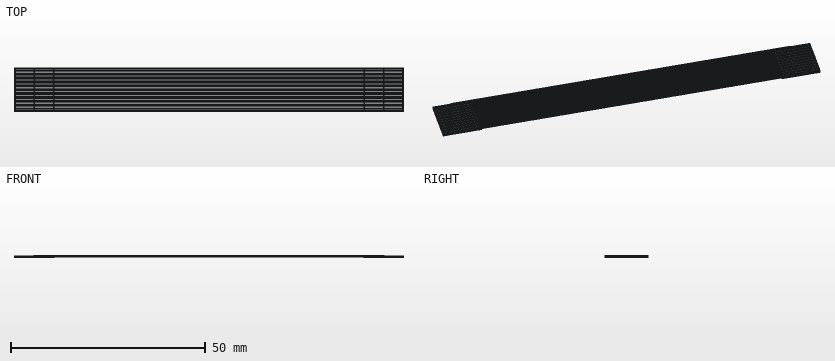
import cadquery as cq

cable_length = 100.0
cable_width = 11.0
total_thickness = 0.36

conductor_thickness = 0.1
cover_film_thickness = 0.06
stiffener_thickness = total_thickness - conductor_thickness - cover_film_thickness

conductor_count = 10
conductor_pitch = 1.0
conductor_width = 0.7
exposed_length = 5.0
stiffener_length = 10.0

conductor_bottom = stiffener_thickness
cover_bottom = conductor_bottom + conductor_thickness
covered_length = cable_length - 2 * exposed_length


def layer(length, width, thickness, bottom, x=0.0, y=0.0):
    """Flat strip centred on (x, y), with its underside at height bottom."""
    strip = cq.Workplane("XY").box(length, width, thickness, centered=(True, True, False))
    return strip.translate((x, y, bottom))


result = layer(covered_length, cable_width, cover_film_thickness, cover_bottom)

for index in range(conductor_count):
    conductor_y = (index - (conductor_count - 1) / 2) * conductor_pitch
    conductor = layer(
        cable_length, conductor_width, conductor_thickness, conductor_bottom, y=conductor_y
    )
    result = result.union(conductor)

for side in (-1, 1):
    stiffener_x = side * (cable_length - stiffener_length) / 2
    stiffener = layer(stiffener_length, cable_width, stiffener_thickness, 0.0, x=stiffener_x)
    result = result.union(stiffener)